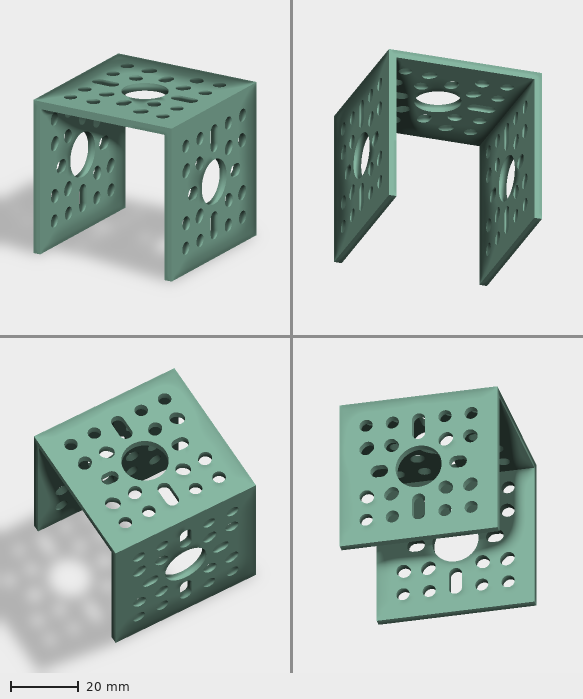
import cadquery as cq
import math

side = 48.0
thickness = 2.4

pitch = side / 6
hole_diameter = pitch / 2
bore_diameter = 14.0
diagonal_shift = 0.5
slot_inner_end = pitch * math.sqrt(2)
long_slot_outer_end = 2 * pitch
short_slot_outer_end = 12.65

cut_depth = 1.1 * side


def channel():
    """Inverted U with its outer faces on a cube centred at the origin."""
    cavity_width = side - 2 * thickness
    cavity = cq.Workplane("XY").box(cavity_width, side, side).translate((0, 0, -thickness))
    return cq.Workplane("XY").box(side, side, side).cut(cavity)


def slot_cutter(plane, start, end):
    """Round-ended slot whose end arcs are centred on two points of the plane."""
    run = end[0] - start[0]
    rise = end[1] - start[1]
    overall_length = math.hypot(run, rise) + hole_diameter
    middle = ((start[0] + end[0]) / 2, (start[1] + end[1]) / 2)
    angle = math.degrees(math.atan2(rise, run))
    return plane.center(*middle).slot2D(overall_length, hole_diameter, angle).extrude(cut_depth)


def pattern_cutters(plane):
    """All hole cutters for one plate; the long slots lie along the plane's first axis."""
    cutters = [plane.circle(bore_diameter / 2).extrude(cut_depth)]

    for u in (-1, 1):
        cutters.append(slot_cutter(plane, (u * slot_inner_end, 0), (u * long_slot_outer_end, 0)))
        cutters.append(slot_cutter(plane, (0, u * slot_inner_end), (0, u * short_slot_outer_end)))

        for v in (-1, 1):
            round_holes = [(2 * u * pitch, v * pitch), (2 * u * pitch, 2 * v * pitch)]
            cutters.append(plane.pushPoints(round_holes).circle(hole_diameter / 2).extrude(cut_depth))

            shifted_u = u * (pitch + diagonal_shift)
            inner_v = v * pitch
            outer_v = 2 * v * pitch
            shift_v = v * diagonal_shift
            cutters.append(slot_cutter(plane, (u * pitch, inner_v), (shifted_u, inner_v + shift_v)))
            cutters.append(slot_cutter(plane, (u * pitch, outer_v), (shifted_u, outer_v - shift_v)))

    return cutters


top_plane = cq.Workplane("XY")

wall_plane = cq.Workplane(cq.Plane(origin=(-cut_depth / 2, 0, 0), xDir=(0, 0, 1), normal=(1, 0, 0)))

result = channel()
for plane in (top_plane, wall_plane):
    for cutter in pattern_cutters(plane):
        result = result.cut(cutter)